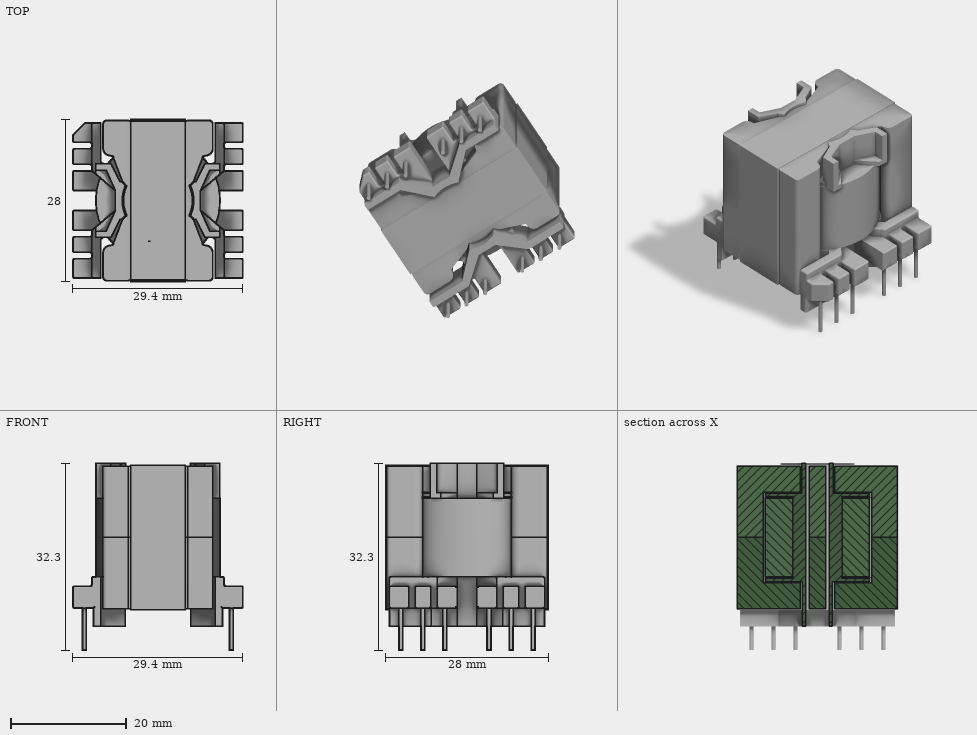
import cadquery as cq
import math


core_half_width = 9.5
core_half_depth = 13.87
core_half_height = 12.34
window_half_height = 7.8
post_radius = 6.0
window_radius = 11.0
corner_radius = 0.7
wing_tip_radius = 1.3
wing_outer_corner = (core_half_width, 7.95)
wing_inner_corner = (7.85, 7.66)
slot_mouth = (7.72, 7.42)
slot_root = (6.15, 3.34)
post_shoulder_angle = 24.7
groove_half_width = 5.17
groove_depth = 0.15

tape_half_width = 4.72
tape_half_depth = 14.02
tape_half_height = 12.49

winding_radius = 10.75
winding_half_height = 6.8
tube_inner_radius = 6.15
tube_outer_radius = 7.2
flange_radius = 10.7
flange_inner_height = 7.0
flange_outer_height = 7.7

notch_floor_x = 7.35
notch_half_width = 1.7
rail_notch_half_width = 5.15

ear_top = 12.85
ear_end_x = 10.71
ear_half_depth = 6.38
ear_wall = 1.12
ear_inner_bend_x = 8.95
ear_outer_bend_x = 8.12
ear_hook = (6.55, 3.26)
ear_hook_foot = (6.28, 3.26)
ear_tip_angle = 24.7

rail_outer_x = 11.43
rail_inner_x = 9.86
rail_end_y = 13.42
rail_top = -winding_half_height
foot_outer_x = 11.16
foot_notch_half_width = 6.19
foot_bottom = -15.37
web_start_y = 6.7
web_tip_angle = 23.5
block_outer_x = 14.69
block_top = -8.39
block_bottom = -12.2
block_spans = [(notch_half_width, rail_notch_half_width), (6.25, 8.96), (10.05, rail_end_y)]
key_chamfer = 2.1
edge_radius = 0.3
select_margin = 0.02

pin_pitch = 3.81
pin_row_x = 12.7
pin_radius = 0.35
pin_bottom = -19.44


def on_circle(radius, angle):
    """Point on a circle about the winding axis, with the angle in degrees from +X."""
    turn = math.radians(angle)
    return (radius * math.cos(turn), radius * math.sin(turn))


def flip_y(point):
    return (point[0], -point[1])


def prism(outline, bottom, top):
    return outline.extrude(top - bottom).translate((0, 0, bottom))


def polygon(points):
    return cq.Workplane("XY").polyline(points).close()


def disc(radius, bottom, top):
    return prism(cq.Workplane("XY").circle(radius), bottom, top)


def box_between(x_range, y_range, z_range):
    size = [span[1] - span[0] for span in (x_range, y_range, z_range)]
    corner = (x_range[0], y_range[0], z_range[0])
    return cq.Workplane("XY").box(*size, centered=False).translate(corner)


def side_cutout():
    """Flared opening in the +X side of the core, with its narrow end inside the post."""
    beyond = core_half_width + 1
    shoulder = on_circle(post_radius, post_shoulder_angle)
    half = [wing_outer_corner, wing_inner_corner, slot_mouth, slot_root, shoulder]
    half.insert(0, (beyond, wing_outer_corner[1]))
    outline = polygon(half + [flip_y(p) for p in reversed(half)])
    return prism(outline, 0, core_half_height)


def tape_groove():
    """Shallow sloped-sided groove for the tape in the +Y face."""
    floor_y = core_half_depth - groove_depth
    outline = polygon([
        (-groove_half_width, core_half_depth),
        (-tape_half_width, floor_y),
        (tape_half_width, floor_y),
        (groove_half_width, core_half_depth),
    ])
    return prism(outline, 0, core_half_height)


def make_upper_core():
    core = box_between(
        (-core_half_width, core_half_width),
        (-core_half_depth, core_half_depth),
        (0, core_half_height),
    )
    core = core.edges("|Z").fillet(corner_radius)
    cutout = side_cutout()
    groove = tape_groove()
    core = core.cut(cutout).cut(cutout.mirror("YZ"))
    tip_x, tip_y = wing_outer_corner
    for side_x in (-tip_x, tip_x):
        for side_y in (-tip_y, tip_y):
            tip_edge = cq.selectors.NearestToPointSelector((side_x, side_y, core_half_height / 2))
            core = core.edges("|Z").edges(tip_edge).fillet(wing_tip_radius)
    core = core.cut(groove).cut(groove.mirror("XZ"))
    core = core.cut(disc(window_radius, 0, window_half_height))
    return core.union(disc(post_radius, 0, core_half_height))


def make_tape():
    floor_y = core_half_depth - groove_depth
    tape_x = (-tape_half_width, tape_half_width)
    outside = box_between(
        tape_x, (-tape_half_depth, tape_half_depth), (-tape_half_height, tape_half_height)
    )
    inside = box_between(tape_x, (-floor_y, floor_y), (-core_half_height, core_half_height))
    return outside.cut(inside)


def make_winding():
    spool_space = disc(tube_outer_radius, -winding_half_height, winding_half_height)
    return disc(winding_radius, -winding_half_height, winding_half_height).cut(spool_space)


def end_notch(outer_x, outer_half_width, bottom, top):
    """Flared opening in the +X end of the bobbin, flat-floored at the tube."""
    outline = polygon([
        (notch_floor_x, -notch_half_width),
        (outer_x, -outer_half_width),
        (outer_x, outer_half_width),
        (notch_floor_x, notch_half_width),
    ])
    return prism(outline, bottom, top)


def make_spool():
    """Tube with two round flanges; each flange is notched at both X ends."""
    spool = disc(tube_outer_radius, -flange_outer_height, flange_outer_height)
    for bottom in (-flange_outer_height, flange_inner_height):
        top = bottom + flange_outer_height - flange_inner_height
        flange = disc(flange_radius, bottom, top)
        notch = end_notch(rail_outer_x, rail_notch_half_width, bottom, top)
        spool = spool.union(flange.cut(notch).cut(notch.mirror("YZ")))
    return spool


def make_ear():
    """Upright bracket on the +X side that passes through the slot of the core."""
    tip = on_circle(tube_inner_radius, ear_tip_angle)
    half = [
        (ear_end_x, ear_half_depth),
        (ear_outer_bend_x, ear_half_depth),
        ear_hook,
        ear_hook_foot,
        tip,
    ]
    outline = (
        cq.Workplane("XY")
        .polyline(half)
        .threePointArc((tube_inner_radius, 0), flip_y(tip))
        .polyline([flip_y(p) for p in reversed(half[:-1])], includeCurrent=True)
        .close()
    )
    inner_half_depth = ear_half_depth - ear_wall
    hollow = [
        (notch_floor_x, notch_half_width),
        (ear_inner_bend_x, inner_half_depth),
        (ear_end_x, inner_half_depth),
    ]
    hollow += [flip_y(p) for p in reversed(hollow)]
    ear = prism(outline, winding_half_height, ear_top)
    ear = ear.cut(prism(polygon(hollow), flange_outer_height, ear_top))
    return ear.cut(
        end_notch(rail_outer_x, rail_notch_half_width, winding_half_height, flange_outer_height)
    )


def rail_section(outer_x, outer_notch_half_width, bottom, top):
    """Quarter of a terminal rail with the web that joins it to the tube, for +X and +Y."""
    web_tip = on_circle(tube_inner_radius, web_tip_angle)
    outline = (
        cq.Workplane("XY")
        .moveTo(tube_inner_radius, 0)
        .lineTo(notch_floor_x, 0)
        .lineTo(notch_floor_x, notch_half_width)
        .lineTo(outer_x, outer_notch_half_width)
        .lineTo(outer_x, rail_end_y)
        .lineTo(rail_inner_x, rail_end_y)
        .lineTo(rail_inner_x, web_start_y)
        .lineTo(*web_tip)
        .threePointArc(on_circle(tube_inner_radius, web_tip_angle / 2), (tube_inner_radius, 0))
        .close()
    )
    return prism(outline, bottom, top)


def pin_block(span, keyed):
    """Sharp-edged block that starts inside the rail."""
    root_x = notch_floor_x if span[0] == notch_half_width else rail_inner_x
    block = box_between((root_x, block_outer_x), span, (block_bottom, block_top))
    if keyed:
        block = block.edges("|Z and >X and >Y").chamfer(key_chamfer)
    return block


def edges_within(x_range, y_range, z_range):
    """Selector for edges whose centres lie in a box, its faces included."""
    ranges = (x_range, y_range, z_range)
    low = [span[0] - select_margin for span in ranges]
    high = [span[1] + select_margin for span in ranges]
    return cq.selectors.BoxSelector(low, high)


def round_terminals(terminals):
    """Fillet the block roots, then the outer edges of the blocks, then the rim of the rail."""
    past_roots_x = rail_outer_x + edge_radius + 2 * select_margin
    inner_y, outer_y = notch_half_width, rail_end_y
    roots = edges_within(
        (rail_outer_x, rail_outer_x),
        (rail_notch_half_width + 2 * select_margin, outer_y - 2 * select_margin),
        (block_bottom + 2 * select_margin, block_top),
    )
    terminals = terminals.edges(roots).fillet(edge_radius)

    block_edges = edges_within((past_roots_x, block_outer_x), (inner_y, outer_y), (block_bottom, block_top))
    bottom_edges = edges_within(
        (rail_outer_x, block_outer_x), (inner_y, outer_y), (block_bottom, block_bottom)
    )
    terminals = terminals.edges(block_edges + bottom_edges).fillet(edge_radius)

    rim = edges_within(
        (rail_inner_x + 2 * select_margin, rail_outer_x),
        (rail_notch_half_width, outer_y),
        (rail_top, rail_top),
    )
    corner = edges_within((rail_outer_x, rail_outer_x), (outer_y, outer_y), (block_top, rail_top))
    return terminals.edges(rim + corner).fillet(edge_radius)


def make_terminal_quarter(keyed):
    """Rail, foot, three pin blocks and three pins for +X and +Y; keyed chamfers the last block."""
    quarter = rail_section(rail_outer_x, rail_notch_half_width, block_bottom, rail_top)
    for span in block_spans:
        quarter = quarter.union(pin_block(span, keyed and span[1] == rail_end_y))
    foot_top = block_bottom + edge_radius
    foot = rail_section(foot_outer_x, foot_notch_half_width, foot_bottom, foot_top)
    foot = foot.edges("|Z and >X and >Y").fillet(edge_radius)
    quarter = round_terminals(quarter).union(foot)

    for index in range(len(block_spans)):
        pin = disc(pin_radius, pin_bottom, block_bottom + edge_radius)
        quarter = quarter.union(pin.translate((pin_row_x, pin_pitch * (index + 1), 0)))
    return quarter


def make_bobbin():
    bobbin = make_spool()
    ear = make_ear()
    plain = make_terminal_quarter(keyed=False)
    keyed = make_terminal_quarter(keyed=True)
    additions = [
        ear,
        ear.mirror("YZ"),
        plain,
        plain.mirror("XZ"),
        plain.mirror("XZ").mirror("YZ"),
        keyed.mirror("YZ"),
    ]
    for addition in additions:
        bobbin = bobbin.union(addition)
    return bobbin.cut(disc(tube_inner_radius, foot_bottom, ear_top))


upper_core = make_upper_core()
lower_core = upper_core.mirror("XY")
tape = make_tape()
winding = make_winding()
bobbin = make_bobbin()

result = cq.Compound.makeCompound(
    [upper_core.val(), lower_core.val(), tape.val(), winding.val(), bobbin.val()]
)